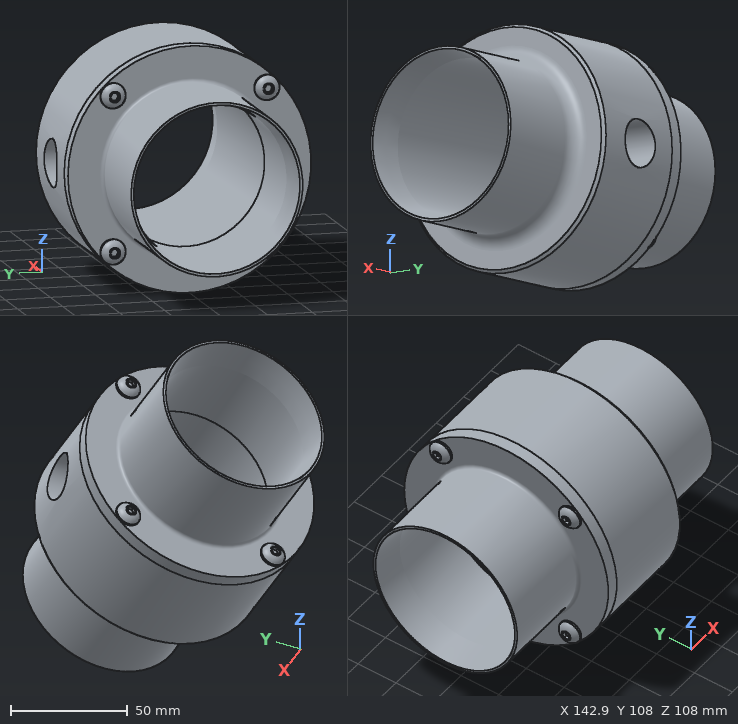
import cadquery as cq
import math

total_length = 142.9
pipe_radius = 76.2 / 2
bore_radius = 69.9 / 2
mouth_radius = 73.7 / 2
mouth_taper_length = 15.0

flange_front_x = 44.6
flange_thickness = 6.1
joint_x = flange_front_x + flange_thickness
cover_fillet = 1.7

drum_radius = 108.0 / 2
drum_end_x = 98.3
drum_chamfer = 1.5
housing_fillet = 6.5

port_radius = 21.0 / 2
port_x = 73.0

screw_count = 4
screw_circle_radius = 48.3
first_screw_angle = 45.0
head_radius = 5.6
head_height = 3.6
head_rim_height = 1.0
head_face_radius = 4.9 / 2
dome_middle_height = 2.7
dome_middle_radius = 4.3
socket_across_flats = 3.5
socket_depth = 1.7
shank_radius = 6.3 / 2
shank_length = 14.3


def turned(outline):
    """Revolve an outline of (x, radius) points about the X axis."""
    return outline.close().revolve(360, (0, 0, 0), (1, 0, 0))


def round_hole(center_x, radius, length):
    """Cylinder along +Y from the part's axis, for cutting a radial hole."""
    return cq.Workplane("XZ", origin=(center_x, 0, 0)).circle(radius).extrude(-length)


def screw_places():
    """Y, Z position of each screw on the screw circle."""
    places = []
    for index in range(screw_count):
        angle = math.radians(first_screw_angle + index * 360 / screw_count)
        places.append((screw_circle_radius * math.cos(angle), screw_circle_radius * math.sin(angle)))
    return places


def cut_shank_holes(body):
    """Cut the holes that the screw shanks fill."""
    for y, z in screw_places():
        hole = cq.Workplane("YZ", origin=(flange_front_x, y, z)).circle(shank_radius).extrude(shank_length)
        body = body.cut(hole)
    return body


def make_cover():
    fillet_middle = cover_fillet * (1 - math.sqrt(0.5))
    outline = (
        cq.Workplane("XY")
        .moveTo(0, mouth_radius)
        .lineTo(0, pipe_radius)
        .lineTo(flange_front_x - cover_fillet, pipe_radius)
        .threePointArc(
            (flange_front_x - fillet_middle, pipe_radius + fillet_middle),
            (flange_front_x, pipe_radius + cover_fillet),
        )
        .lineTo(flange_front_x, drum_radius)
        .lineTo(joint_x, drum_radius)
        .lineTo(joint_x, bore_radius)
        .lineTo(mouth_taper_length, bore_radius)
    )
    return cut_shank_holes(turned(outline))


def make_housing():
    fillet_middle = housing_fillet * (1 - math.sqrt(0.5))
    outline = (
        cq.Workplane("XY")
        .moveTo(joint_x, bore_radius)
        .lineTo(joint_x, drum_radius)
        .lineTo(drum_end_x - drum_chamfer, drum_radius)
        .lineTo(drum_end_x, drum_radius - drum_chamfer)
        .lineTo(drum_end_x, pipe_radius + housing_fillet)
        .threePointArc(
            (drum_end_x + fillet_middle, pipe_radius + fillet_middle),
            (drum_end_x + housing_fillet, pipe_radius),
        )
        .lineTo(total_length, pipe_radius)
        .lineTo(total_length, mouth_radius)
        .lineTo(total_length - mouth_taper_length, bore_radius)
    )
    housing = turned(outline).cut(round_hole(port_x, port_radius, drum_radius))
    return cut_shank_holes(housing)


def make_screw(y, z):
    """Screw along X, its domed head on the flange and its shank in the flange and the drum."""
    outline = (
        cq.Workplane("XY")
        .moveTo(-head_height, 0)
        .lineTo(-head_height, head_face_radius)
        .threePointArc((-dome_middle_height, dome_middle_radius), (-head_rim_height, head_radius))
        .lineTo(0, head_radius)
        .lineTo(0, shank_radius)
        .lineTo(shank_length, shank_radius)
        .lineTo(shank_length, 0)
    )
    socket_across_corners = socket_across_flats / math.cos(math.pi / 6)
    socket = (
        cq.Workplane("YZ", origin=(-head_height, 0, 0))
        .polygon(6, socket_across_corners)
        .extrude(socket_depth)
    )
    return turned(outline).cut(socket).translate((flange_front_x, y, z))


cover = make_cover()
housing = make_housing()
screws = [make_screw(y, z).val() for y, z in screw_places()]

result = cq.Compound.makeCompound([cover.val(), housing.val(), *screws])